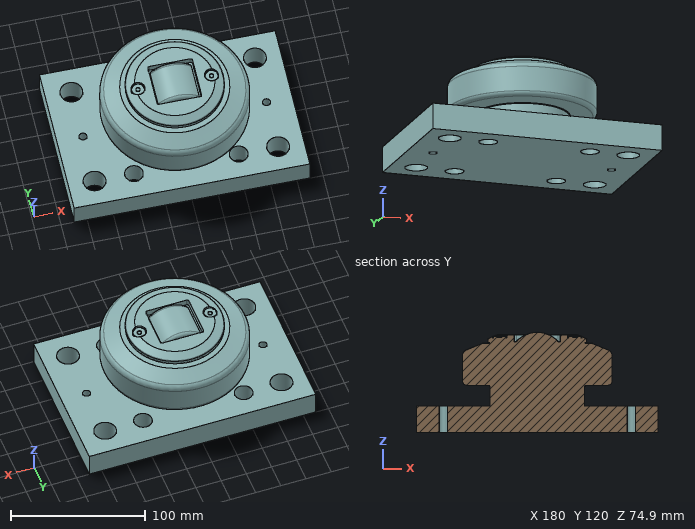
import cadquery as cq

plate_length = 180.0
plate_width = 120.0
plate_thickness = 20.0

outer_hole_x = 70.0
inner_hole_x = 40.0
hole_y = 40.0
outer_hole_diameter = 17.0
inner_hole_diameter = 13.9
pin_hole_diameter = 6.0

stem_diameter = 71.0
collar_diameter = 71.6
collar_height = 0.5
ring_diameter = 111.8
ring_bottom = 35.1
ring_shoulder = 60.5
ring_top = 66.6
ring_top_diameter = 82.0
ring_bottom_fillet = 3.2
ring_shoulder_fillet = 4.7

cap_diameter = 74.0
cap_flat_diameter = 59.8
cap_edge_top = 69.8
cap_rim_diameter = 73.0
cap_rim_top = 70.2
cap_neck_diameter = 71.6
cap_neck_height = 0.5
cap_top = 73.0

total_height = 74.9
roller_diameter = 42.1
roller_length = 32.4
roller_end_fillet = 2.7
roller_axis_height = total_height - roller_diameter / 2
pocket_side = 34.0
pocket_corner_radius = 1.5
pocket_floor = 67.9

screw_x = 28.0
screw_recess_diameter = 10.5
screw_head_diameter = 9.7
screw_socket_diameter = 3.2
screw_recess_floor = 70.5
screw_head_top = 71.8
screw_socket_depth = 0.7


def disc(x, diameter, bottom, top):
    return cq.Workplane("XY", origin=(x, 0, bottom)).circle(diameter / 2).extrude(top - bottom)


def make_plate():
    plate = cq.Workplane("XY").box(
        plate_length, plate_width, plate_thickness, centered=(True, True, False)
    )
    for x, diameter in ((outer_hole_x, outer_hole_diameter), (inner_hole_x, inner_hole_diameter)):
        holes = cq.Workplane("XY").rect(2 * x, 2 * hole_y, forConstruction=True).vertices()
        plate = plate.cut(holes.circle(diameter / 2).extrude(plate_thickness))
    pin_holes = cq.Workplane("XY").pushPoints([(-outer_hole_x, 0), (outer_hole_x, 0)])
    return plate.cut(pin_holes.circle(pin_hole_diameter / 2).extrude(plate_thickness))


def make_stem():
    stem = disc(0, stem_diameter, plate_thickness, ring_bottom)
    return stem.union(disc(0, collar_diameter, ring_bottom - collar_height, ring_bottom))


def make_ring():
    ring = (
        cq.Workplane("XZ")
        .moveTo(0, ring_bottom)
        .lineTo(ring_diameter / 2, ring_bottom)
        .lineTo(ring_diameter / 2, ring_shoulder)
        .lineTo(ring_top_diameter / 2, ring_top)
        .lineTo(0, ring_top)
        .close()
        .revolve(360, (0, 0, 0), (0, 1, 0))
    )
    ring = ring.faces("<Z").edges().fillet(ring_bottom_fillet)
    return ring.faces("%CONE").edges("<Z").fillet(ring_shoulder_fillet)


def make_cap():
    return (
        cq.Workplane("XZ")
        .moveTo(0, ring_top)
        .lineTo(cap_neck_diameter / 2, ring_top)
        .lineTo(cap_neck_diameter / 2, ring_top + cap_neck_height)
        .lineTo(cap_diameter / 2, ring_top + cap_neck_height)
        .lineTo(cap_diameter / 2, cap_edge_top)
        .lineTo(cap_rim_diameter / 2, cap_rim_top)
        .lineTo(cap_flat_diameter / 2, cap_top)
        .lineTo(0, cap_top)
        .close()
        .revolve(360, (0, 0, 0), (0, 1, 0))
    )


def make_pocket():
    depth = cap_top - pocket_floor
    pocket = cq.Workplane("XY").workplane(offset=pocket_floor).rect(pocket_side, pocket_side)
    return pocket.extrude(depth).edges("|Z").fillet(pocket_corner_radius)


def make_side_roller():
    return (
        cq.Workplane("XZ", origin=(0, roller_length / 2, roller_axis_height))
        .circle(roller_diameter / 2)
        .extrude(roller_length)
        .faces("<Y or >Y")
        .edges()
        .fillet(roller_end_fillet)
    )


def add_screw(body, x):
    body = body.cut(disc(x, screw_recess_diameter, screw_recess_floor, cap_top))
    body = body.union(disc(x, screw_head_diameter, screw_recess_floor, screw_head_top))
    socket_floor = screw_head_top - screw_socket_depth
    return body.cut(disc(x, screw_socket_diameter, socket_floor, screw_head_top))


result = make_plate().union(make_stem()).union(make_ring()).union(make_cap())
result = result.cut(make_pocket()).union(make_side_roller())
for side in (-1, 1):
    result = add_screw(result, side * screw_x)